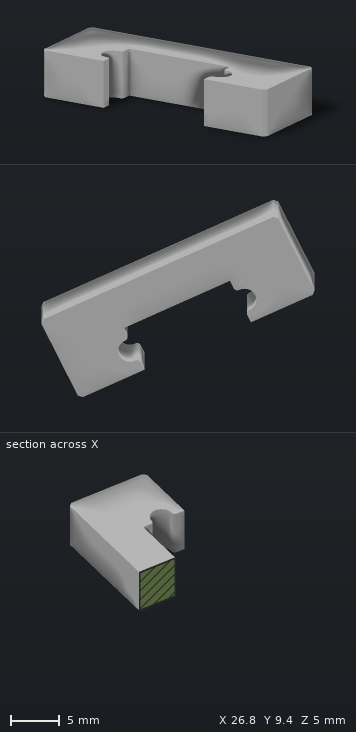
import cadquery as cq

length = 26.8
depth = 9.4
height = 5.0
corner_chamfer = 0.38

channel_width = 12.05
channel_depth = 5.0
groove_radius = 1.2
groove_reach = 1.65
groove_center_y = channel_depth / 2
lip_radius = 0.4

wall_x = channel_width / 2
groove_center_x = wall_x + groove_reach - groove_radius


def make_block():
    block = cq.Workplane("XY").box(length, depth, height, centered=(True, False, False))
    return block.edges("|Z").chamfer(corner_chamfer)


def make_channel():
    return cq.Workplane("XY").rect(channel_width, 2 * channel_depth).extrude(height)


def make_grooves():
    """Slot across the channel whose round ends form both side grooves."""
    slot_length = 2 * (groove_center_x + groove_radius)
    return (
        cq.Workplane("XY")
        .center(0, groove_center_y)
        .slot2D(slot_length, 2 * groove_radius)
        .extrude(height)
    )


def round_lips(body):
    """Round the four vertical edges where the grooves meet the channel walls."""
    for x in (-wall_x, wall_x):
        for y in (groove_center_y - groove_radius, groove_center_y + groove_radius):
            lip_edge = cq.selectors.NearestToPointSelector((x, y, height / 2))
            body = body.edges("|Z").edges(lip_edge).fillet(lip_radius)
    return body


result = round_lips(make_block().cut(make_channel()).cut(make_grooves()))